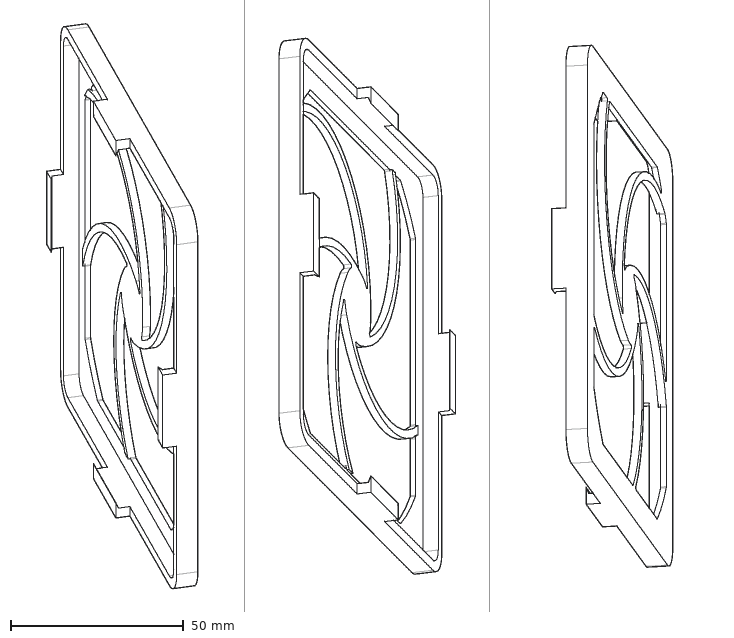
import cadquery as cq
import math

frame_size = 125.2
frame_depth = 6.4
frame_corner_radius = 7.9
wall_thickness = 3.2
plate_thickness = 1.7

opening_size = 106.0
opening_corner_radius = 66.2

clip_count = 4
clip_length = 24.2
clip_height = 4.2
clip_lip_reach = 1.9
clip_lip_height = 0.8

spoke_count = 5
spoke_depth = 2.4
spoke_width = 2.5
spoke_outer_radius = 45.5
hub_radius = 11.5
first_spoke_angle = 31.4
passage_fillet = 0.6
hub_root_radius = 16.0

half_size = frame_size / 2
inner_half = half_size - wall_thickness
rim_y = -frame_depth
clip_tip_y = rim_y - clip_height
spoke_centre_distance = spoke_outer_radius - hub_radius


def rounded_square(size, depth, radius):
    """Rounded square block from Y = 0 to Y = -depth."""
    return cq.Workplane("XZ").rect(size, size).extrude(depth).edges("|Y").fillet(radius)


def cylinder(radius, depth, x=0, z=0):
    """Cylinder along Y from Y = 0 to Y = -depth."""
    return cq.Workplane("XZ").center(x, z).circle(radius).extrude(depth)


def opening(depth):
    """Square air opening with its corners cut off by a large concentric circle."""
    square = cq.Workplane("XZ").rect(opening_size, opening_size).extrude(depth)
    return square.intersect(cylinder(opening_corner_radius, depth))


def make_tray():
    """Frame with its recess, still closed at the back by the plate."""
    body = rounded_square(frame_size, frame_depth, frame_corner_radius)
    inner_radius = frame_corner_radius - wall_thickness
    recess = rounded_square(2 * inner_half, frame_depth, inner_radius)
    return body.cut(recess.translate((0, -plate_thickness, 0)))


def make_clip():
    """Clip on the +X side, with a tapered lip at its free edge."""
    profile = [
        (half_size, rim_y),
        (half_size, clip_tip_y),
        (inner_half - clip_lip_reach, clip_tip_y),
        (inner_half, clip_tip_y + clip_lip_height),
        (inner_half, rim_y),
    ]
    return cq.Workplane("XY").polyline(profile).close().extrude(clip_length / 2, both=True)


def make_spoke(angle):
    """Curved spoke leaving the hub tangentially and ending at the opening edge."""
    centre_x = spoke_centre_distance * math.cos(math.radians(angle))
    centre_z = spoke_centre_distance * math.sin(math.radians(angle))
    outer = cylinder(spoke_outer_radius, spoke_depth, centre_x, centre_z)
    inner = cylinder(spoke_outer_radius - spoke_width, spoke_depth, centre_x, centre_z)
    span = 2 * frame_size
    kept_side = cq.Workplane("XZ").center(0, -span / 2).rect(span, span).extrude(spoke_depth)
    kept_side = kept_side.rotate((0, 0, 0), (0, 1, 0), -angle)
    return outer.cut(inner).intersect(kept_side).intersect(opening(spoke_depth))


def make_guard():
    """Hub disc with its spokes, all corners sharp."""
    guard = cylinder(hub_radius, spoke_depth)
    for index in range(spoke_count):
        guard = guard.union(make_spoke(first_spoke_angle + index * 360 / spoke_count))
    return guard


def make_passages(guard):
    """Air passages between the spokes, with rounded corners."""
    passages = opening(spoke_depth).cut(guard)
    return passages.edges("|Y").fillet(passage_fillet)


guard = make_guard()
passages = make_passages(guard)
hub_with_roots = cylinder(hub_root_radius, spoke_depth).cut(passages)

result = make_tray().cut(passages).union(guard).union(hub_with_roots)
for index in range(clip_count):
    result = result.union(make_clip().rotate((0, 0, 0), (0, 1, 0), index * 360 / clip_count))